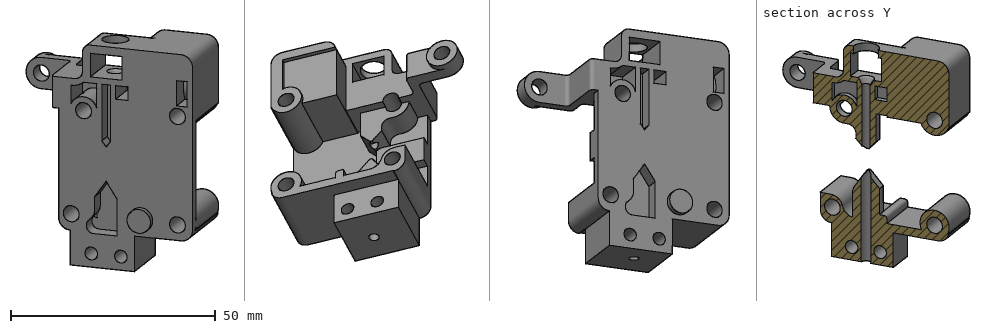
import cadquery as cq
import math

plate_right = 34.82
plate_top = 47.5
plate_thickness = 2.5
body_depth = 18.5
corner_radius = 3.0
left_bottom_drop = 0.22

shoulder_bottom = 30.55
shoulder_top = 38.55
block_left = 6.2
shoulder_radius = 2.0
front_block_depth = 10.9
rear_block_left = 18.1
rear_block_radius = 3.0
rear_block_bottom = 30.2
rear_recess_depth = 1.0
rear_recess_top = 45.0
rear_recess_right = plate_right - corner_radius

screw_diameter = 4.1
post_radius = 4.0
corner_rib_top = 7.4
corner_rib_flat = 2.75
corner_rib_middle = (6.15, 4.73)
corner_rib_foot = 9.25
lower_left_hole = (3.3, 4.0)
upper_left_hole = (6.5, 30.6)
lower_right_hole = (30.9, 4.0)
upper_right_hole = (30.9, 31.65)

floor_top = 2.3
floor_rib_left = 16.0
floor_rib_right = 18.1
floor_rib_top = 4.3
floor_rib_radius = 0.9
tab_left = corner_radius
tab_right = 19.7
tab_bottom = -9.1
tab_depth = 15.0
tab_hole_diameter = 3.25
tab_hole_spacing = 7.7
tab_hole_z = -5.6

channel_x = 12.35
channel_y = 6.7
channel_diameter = 2.1
lower_channel_diameter = 2.5
guide_depth = 8.8
guide_half_width = 2.75
upper_wedge_height = 2.6
lower_wedge_height = 3.7
guide_tip_half_width = 0.3
upper_guide_fillet = 2.1
lower_guide_flare = 1.0
lower_flare_bottom = 8.4
upper_tip_z = 20.6
lower_tip_z = 14.8
rib_depth = 5.0
rib_bottom = 13.9
rib_top = 21.15

tube_diameter = 6.6
funnel_diameter = 4.2
funnel_depth = 0.5
throat_diameter = 3.3
throat_depth = 1.2
window_half_width = 4.1
window_bottom = 39.4
window_top = 45.4

pocket_depth = 8.0
pocket_top = 37.85
slot_width = 2.2
slot_tip_z = 22.0
slot_taper = 1.4
sheath_radius = 3.0
lower_pocket_tip_z = 13.2
lower_pocket_left = 9.4
lower_pocket_right = 15.15
lower_pocket_shoulder_z = 9.0
lower_pocket_bottom = -0.45
lower_pocket_depth = 4.0
toe_start_x = 9.2
toe_end = (7.6, 2.6)
toe_radius = 1.9
ankle_start = (8.5, 3.5)
ankle_end_z = 5.7
ankle_radius = 3.2
square_left = 14.85
square_right = 18.0
square_bottom = 34.4
side_slot_left = 30.65
side_slot_right = 33.4
side_slot_bottom = 34.3
side_slot_top = 40.75
side_slot_floor = 5.0
side_slot_floor_radius = 5.3
post_wall_radius = 3.55
post_pocket_left = 3.3
post_pocket_right = 9.9
post_pocket_left_top = 36.8
post_pocket_arc_middle = (5.0, 37.0)

arm_eye_x = -9.58
arm_radius = (shoulder_top - shoulder_bottom) / 2
arm_eye_z = (shoulder_top + shoulder_bottom) / 2
arm_front = 14.0
arm_rear = 17.0
leg_left = -1.9
leg_right = 0.4
bend_radius = 1.0

peg_x = 21.4
peg_z = 4.35
peg_radius = 3.05
peg_height = 1.5


def front_sketch(y=0.0):
    """Workplane at depth y, drawn in (x, z); negative extrusion goes toward +Y."""
    return cq.Workplane("XZ", origin=(0, y, 0))


def box(x_range, y_range, z_range):
    """Box from three (low, high) ranges."""
    lows, highs = zip(x_range, y_range, z_range)
    sizes = [high - low for low, high in zip(lows, highs)]
    return cq.Workplane("XY").box(*sizes, centered=False).translate(tuple(lows))


def rod(center, radius, y_start, y_end):
    """Cylinder along Y around an (x, z) centre."""
    return front_sketch(y_start).center(*center).circle(radius).extrude(y_start - y_end)


def vertical_rod(diameter, z_bottom, z_top):
    """Cylinder along the filament channel."""
    plane = cq.Workplane("XY", origin=(channel_x, channel_y, z_bottom))
    return plane.circle(diameter / 2).extrude(z_top - z_bottom)


def body_outline():
    """Outer front outline of plate and upper block, without tab and arm."""
    bottom = -left_bottom_drop
    diagonal = math.sqrt(0.5)
    radius = shoulder_radius
    inset = radius * (1 - diagonal)
    return (
        front_sketch()
        .moveTo(0, bottom + corner_radius)
        .radiusArc((corner_radius, bottom), -corner_radius)
        .lineTo(corner_radius, 0)
        .lineTo(plate_right - corner_radius, 0)
        .radiusArc((plate_right, corner_radius), -corner_radius)
        .lineTo(plate_right, plate_top - corner_radius)
        .radiusArc((plate_right - corner_radius, plate_top), -corner_radius)
        .lineTo(block_left + radius, plate_top)
        .threePointArc((block_left + inset, plate_top - inset), (block_left, plate_top - radius))
        .lineTo(block_left, shoulder_top + radius)
        .threePointArc((block_left - inset, shoulder_top + inset), (block_left - radius, shoulder_top))
        .lineTo(0, shoulder_top)
        .close()
    )


def rear_block():
    """Full-depth upper right block with its rounded upper left edge."""
    block = box((rear_block_left, plate_right), (0, body_depth), (rear_block_bottom, plate_top))
    block = block.edges("|Y and >Z and <X").fillet(rear_block_radius)
    recess = box(
        (rear_block_left, rear_recess_right),
        (body_depth - rear_recess_depth, body_depth),
        (rear_block_bottom, rear_recess_top),
    )
    return block.cut(recess)


def corner_rib():
    """Full-depth rib around the lower left screw hole, its flank running out into the floor."""
    return (
        front_sketch()
        .moveTo(0, -left_bottom_drop)
        .lineTo(0, corner_rib_top)
        .lineTo(corner_rib_flat, corner_rib_top)
        .tangentArcPoint(corner_rib_middle, relative=False)
        .tangentArcPoint((corner_rib_foot, floor_top), relative=False)
        .lineTo(corner_rib_foot, -left_bottom_drop)
        .close()
        .extrude(-body_depth)
    )


def floor_rib():
    """Low full-depth rib on the bottom wall, rounded along its right edge."""
    rib = box((floor_rib_left, floor_rib_right), (0, body_depth), (0, floor_rib_top))
    return rib.edges("|Y and >Z and >X").fillet(floor_rib_radius)


def body():
    """Plate, upper blocks, bottom wall and screw posts, all trimmed to the outer outline."""
    depth_range = (0, body_depth)
    solid = box((0, plate_right), (0, plate_thickness), (-left_bottom_drop, plate_top))
    solid = solid.union(box((0, plate_right), (0, front_block_depth), (shoulder_bottom, plate_top)))
    solid = solid.union(rear_block())
    solid = solid.union(box((0, plate_right), depth_range, (-left_bottom_drop, floor_top)))
    solid = solid.union(corner_rib()).union(floor_rib())
    solid = solid.union(rod(upper_left_hole, post_radius, 0, guide_depth))
    for hole in (lower_right_hole, upper_right_hole):
        solid = solid.union(rod(hole, post_radius, *depth_range))
    return solid.intersect(body_outline().extrude(-body_depth))


def upper_guide():
    """Guide pointing down from the shoulder, blended into the underside of the upper left post."""
    post_x, post_z = upper_left_hole
    left = channel_x - guide_half_width
    right = channel_x + guide_half_width
    wedge_z = upper_tip_z + upper_wedge_height
    post_bottom = post_z - post_radius
    return (
        front_sketch()
        .moveTo(channel_x - guide_tip_half_width, upper_tip_z)
        .lineTo(left, wedge_z)
        .lineTo(left, post_bottom - upper_guide_fillet)
        .radiusArc((left - upper_guide_fillet, post_bottom), -upper_guide_fillet)
        .lineTo(post_x, post_bottom)
        .lineTo(post_x, shoulder_bottom)
        .lineTo(right, shoulder_bottom)
        .lineTo(right, wedge_z)
        .lineTo(channel_x + guide_tip_half_width, upper_tip_z)
        .close()
        .extrude(-guide_depth)
    )


def lower_guide():
    """Guide pointing up from the bottom wall, its left flank curving outward below the wedge."""
    left = channel_x - guide_half_width
    right = channel_x + guide_half_width + lower_guide_flare
    wedge_z = lower_tip_z - lower_wedge_height
    flare_left = left - lower_guide_flare
    return (
        front_sketch()
        .moveTo(flare_left, 0)
        .lineTo(flare_left, lower_flare_bottom)
        .tangentArcPoint((left, wedge_z), relative=False)
        .lineTo(channel_x - guide_tip_half_width, lower_tip_z)
        .lineTo(channel_x + guide_tip_half_width, lower_tip_z)
        .lineTo(right, wedge_z)
        .lineTo(right, 0)
        .close()
        .extrude(-guide_depth)
    )


def arm():
    """Cranked arm: a leg beside the body, a bend, and a round eye with a raised pad."""
    strap = (
        cq.Workplane("XY", origin=(0, 0, shoulder_bottom))
        .moveTo(leg_right, 0)
        .lineTo(leg_left + bend_radius, 0)
        .radiusArc((leg_left, bend_radius), bend_radius)
        .lineTo(leg_left, arm_front - bend_radius)
        .radiusArc((leg_left - bend_radius, arm_front), -bend_radius)
        .lineTo(arm_eye_x, arm_front)
        .lineTo(arm_eye_x, arm_rear)
        .lineTo(leg_right - bend_radius, arm_rear)
        .radiusArc((leg_right, arm_rear - bend_radius), bend_radius)
        .lineTo(leg_right, front_block_depth + bend_radius)
        .radiusArc((leg_right + bend_radius, front_block_depth), -bend_radius)
        .lineTo(leg_right + bend_radius, 0)
        .close()
        .extrude(shoulder_top - shoulder_bottom)
    )
    return strap.union(rod((arm_eye_x, arm_eye_z), arm_radius, arm_front, body_depth))


def tab():
    """Clamp tab below the plate."""
    return box((tab_left, tab_right), (0, tab_depth), (tab_bottom, floor_top))


def cut_screw_holes(solid):
    """Through holes along Y."""
    eye = (arm_eye_x, arm_eye_z)
    for hole in (lower_left_hole, upper_left_hole, lower_right_hole, upper_right_hole, eye):
        solid = solid.cut(rod(hole, screw_diameter / 2, 0, body_depth))
    for side in (-1, 1):
        hole = (channel_x + side * tab_hole_spacing / 2, tab_hole_z)
        solid = solid.cut(rod(hole, tab_hole_diameter / 2, 0, body_depth))
    return solid


def vertical_cone(bottom_diameter, top_diameter, z_bottom, z_top):
    """Cone around the filament channel."""
    base = cq.Vector(channel_x, channel_y, z_bottom)
    cone = cq.Solid.makeCone(bottom_diameter / 2, top_diameter / 2, z_top - z_bottom, base)
    return cq.Workplane(cone)


def cut_tube_seat_and_channel(solid):
    """Window, tube bore, two-stage funnel and the vertical filament channel."""
    window_x = (channel_x - window_half_width, channel_x + window_half_width)
    throat_top = window_bottom - funnel_depth
    throat_bottom = throat_top - throat_depth
    solid = solid.cut(box(window_x, (0, front_block_depth), (window_bottom, window_top)))
    solid = solid.cut(vertical_rod(tube_diameter, window_top, plate_top))
    solid = solid.cut(vertical_cone(throat_diameter, funnel_diameter, throat_top, window_bottom))
    solid = solid.cut(vertical_cone(channel_diameter, throat_diameter, throat_bottom, throat_top))
    solid = solid.cut(vertical_rod(channel_diameter, upper_tip_z, throat_bottom))
    return solid.cut(vertical_rod(lower_channel_diameter, tab_bottom, lower_tip_z))


def channel_slot():
    """Pointed slot in front of the upper channel, ending on a round sheath around the channel."""
    half = slot_width / 2
    outline = [
        (channel_x - half, pocket_top),
        (channel_x + half, pocket_top),
        (channel_x + half, slot_tip_z + slot_taper),
        (channel_x, slot_tip_z),
        (channel_x - half, slot_tip_z + slot_taper),
    ]
    prism = front_sketch().polyline(outline).close().extrude(-channel_y)
    return prism.cut(vertical_rod(2 * sheath_radius, 0, plate_top))


def side_slot():
    """Pocket near the right edge with a bulging floor curved about an axis along X."""
    width = side_slot_right - side_slot_left
    middle_z = (side_slot_bottom + side_slot_top) / 2
    pocket = box(
        (side_slot_left, side_slot_right),
        (0, side_slot_floor + side_slot_floor_radius),
        (side_slot_bottom, side_slot_top),
    )
    bulge = (
        cq.Workplane("YZ", origin=(side_slot_left, 0, 0))
        .center(side_slot_floor + side_slot_floor_radius, middle_z)
        .circle(side_slot_floor_radius)
        .extrude(width)
    )
    return pocket.cut(bulge)


def lower_pocket():
    """Pointed pocket in the lower guide, flaring to the left at its foot."""
    return (
        front_sketch()
        .moveTo(channel_x, lower_pocket_tip_z)
        .lineTo(lower_pocket_right, lower_pocket_shoulder_z)
        .lineTo(lower_pocket_right, lower_pocket_bottom)
        .lineTo(toe_start_x, lower_pocket_bottom)
        .radiusArc(toe_end, toe_radius)
        .lineTo(*ankle_start)
        .radiusArc((lower_pocket_left, ankle_end_z), -ankle_radius)
        .lineTo(lower_pocket_left, lower_pocket_shoulder_z)
        .close()
        .extrude(-lower_pocket_depth)
    )


def post_pocket():
    """Pocket above the upper left post, following the post at its lower edge."""
    post_x, post_z = upper_left_hole
    outline = (
        front_sketch()
        .moveTo(post_pocket_left, post_z)
        .lineTo(post_pocket_left, post_pocket_left_top)
        .threePointArc(post_pocket_arc_middle, (post_x, pocket_top))
        .lineTo(post_pocket_right, pocket_top)
        .lineTo(post_pocket_right, post_z)
        .close()
    )
    return outline.extrude(-pocket_depth).cut(rod(upper_left_hole, post_wall_radius, 0, pocket_depth))


def cut_front_pockets(solid):
    """All pockets sunk into the front face."""
    square = box((square_left, square_right), (0, pocket_depth), (square_bottom, pocket_top))
    for pocket in (channel_slot(), lower_pocket(), side_slot(), post_pocket(), square):
        solid = solid.cut(pocket)
    return solid


guide_rib = box((0, channel_x), (0, rib_depth), (rib_bottom, rib_top))
peg = rod((peg_x, peg_z), peg_radius, -peg_height, 0)

result = body()
for piece in (upper_guide(), lower_guide(), guide_rib, arm(), tab(), peg):
    result = result.union(piece)
result = cut_screw_holes(result)
result = cut_tube_seat_and_channel(result)
result = cut_front_pockets(result)